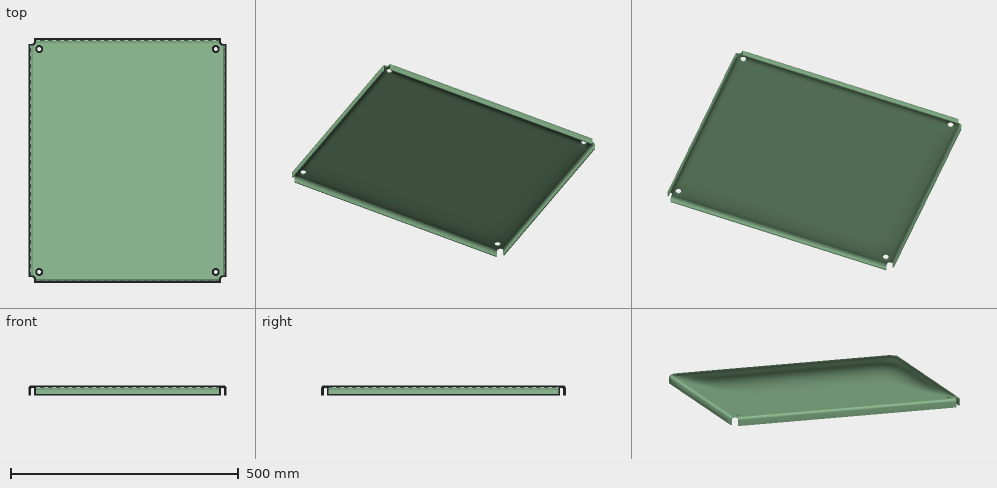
import cadquery as cq

length_x = 431.8
length_y = 533.4
height = 19.05

thickness = 2.54
bend_inner_radius = 3.302
bend_outer_radius = bend_inner_radius + thickness

corner_notch = 12.7
relief_radius = corner_notch / 2
hole_diameter = 12.7
hole_inset = 22.225


def rounded_block(size_x, size_y, size_z, radius):
    """Block standing on Z = 0 with its four top edges rounded."""
    block = cq.Workplane("XY").box(size_x, size_y, size_z, centered=(True, True, False))
    return block.faces(">Z").edges().fillet(radius)


def make_pan():
    """Panel with four downturned flanges, open underneath."""
    outside = rounded_block(length_x, length_y, height, bend_outer_radius)
    inside = rounded_block(
        length_x - 2 * thickness,
        length_y - 2 * thickness,
        height - thickness,
        bend_inner_radius,
    )
    return outside.cut(inside)


def make_corner_notches():
    """Square cutters with rounded upright edges, one centred on each panel corner."""
    notches = cq.Workplane("XY")
    for side_x in (-1, 1):
        for side_y in (-1, 1):
            notch = (
                cq.Workplane("XY")
                .center(side_x * length_x / 2, side_y * length_y / 2)
                .rect(2 * corner_notch, 2 * corner_notch)
                .extrude(height)
                .edges("|Z")
                .fillet(relief_radius)
            )
            notches = notches.add(notch)
    return notches.combine()


def make_mounting_holes():
    """Cutters for the four round holes near the corners."""
    return (
        cq.Workplane("XY")
        .rect(length_x - 2 * hole_inset, length_y - 2 * hole_inset, forConstruction=True)
        .vertices()
        .circle(hole_diameter / 2)
        .extrude(height)
    )


result = make_pan().cut(make_corner_notches()).cut(make_mounting_holes())